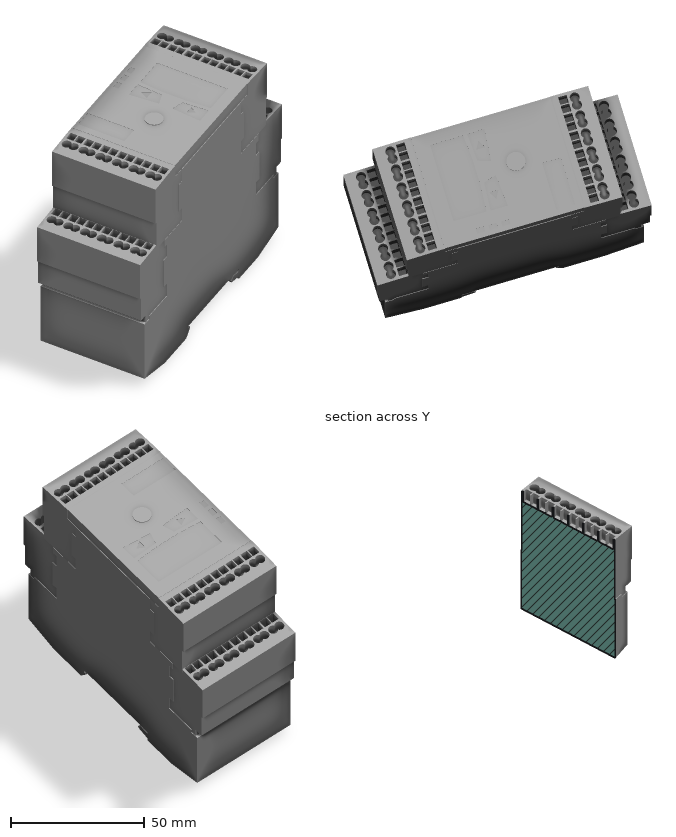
import cadquery as cq


width = 45.0
housing_half = 50.8
shoulder_z = 30.2
foot_half = 35.4
foot_rise = 3.4
panel_z = 91.1

tier_step = 11.5
tier_drop = 28.7
seam = 0.1
block_top_z = panel_z - seam
block_break = 30.0
block_slope_drop = 0.8
block_outer = 42.3
waist_step = 0.8
block_waist = block_outer - waist_step
block_waist_z = 73.5
block_inner = 22.4
block_bottom_z = 60.5
tab_inner = 24.7
tab_low_z = 66.6
tab_high_z = 79.8

lower_bottom_z = 33.7
neck_outer = 49.6
neck_inner = 47.2
lower_inner_top = 35.8

cover_half = 27.3
cover_bottom_z = 85.8

upper_inset = seam
lower_inset = 2 * seam
cover_inset = 2 * seam

channel_z = 5.0
channel_hook_y = 20.9
channel_lip_y = -17.4
catch_z = 3.9
hook_root_z = 1.2
hook_nose = [(15.4, 2.3), (15.2, 2.9), (16.8, 4.2), (18.0, 4.2)]
hook_neck_y = 18.2
lip_tip_y = -16.2
lip_tip_z = 3.3
lip_foot_y = -19.2

terminal_count = 6
terminal_pitch = 7.2
entry_diameter = 3.8
entry_spacing = 3.0
entry_y = 36.2
opening_width = 3.0
opening_spacing = 3.4
opening_length = 3.3
opening_margin = 0.1
well_depth = 5.4

engraving = 0.1
controls_x = 2.2
display_half = 15.3
display_top = 21.2
display_bottom = 8.3
display_sag = 0.9
button_outer = 15.4
button_outer_top = 6.7
button_outer_bottom = -0.1
button_inner = 4.4
button_inner_top = 5.9
button_inner_low = 2.9
button_inner_bottom = 1.0
arrow_tip = 11.7
arrow_base = 8.6
arrow_width = 3.5
arrow_y = 3.3
lamp_count = 3
lamp_x = -19.5
lamp_y = 12.5
lamp_pitch = 5.0
lamp_width = 2.2
lamp_length = 3.1
label_left = -21.3
label_right = -1.3
label_top = -17.1
label_bottom = -24.4
knob_y = -7.9
knob_diameter = 7.2
knob_height = 0.3


def across(points, x_start, length):
    """Prism with a (Y, Z) outline, running along +X from x_start."""
    return cq.Workplane("YZ", origin=(x_start, 0, 0)).polyline(points).close().extrude(length)


def stepped(point):
    """Move an upper-tier (Y, Z) point to the lower tier."""
    return (point[0] + tier_step, point[1] - tier_drop)


def mirrored(points):
    """Reflect points about the vertical axis."""
    return [(-a, b) for a, b in points]


block_face = [
    (block_break, block_top_z),
    (block_outer, block_top_z - block_slope_drop),
    (block_outer, block_waist_z),
    (block_waist, block_waist_z),
]
lower_face = [stepped(p) for p in block_face]
lower_waist = lower_face[-1][0]
lower_foot = [
    (lower_waist, lower_bottom_z),
    (neck_outer, lower_bottom_z),
    (neck_outer, shoulder_z),
]

block_key = [
    (block_inner, block_bottom_z),
    (block_inner, tab_low_z),
    (tab_inner, tab_low_z),
    (tab_inner, tab_high_z),
    (block_inner, tab_high_z),
    (block_inner, cover_bottom_z),
]
lower_key = [stepped(p) for p in block_key]

upper_block = block_face + [(block_waist, block_bottom_z)] + block_key + [
    (cover_half, cover_bottom_z),
    (cover_half, block_top_z),
]
lower_block = lower_face + lower_foot + [
    (neck_inner, shoulder_z),
    (neck_inner, lower_key[0][1]),
] + lower_key + [
    (lower_inner_top, lower_key[-1][1]),
    (lower_inner_top, block_bottom_z),
    (block_waist, block_bottom_z),
]
cover = [
    (-cover_half, cover_bottom_z),
    (cover_half, cover_bottom_z),
    (cover_half, panel_z),
    (-cover_half, panel_z),
]


def make_body():
    """Full-width body, symmetric in Y, before the rail channel is cut."""
    half = [(cover_half, panel_z), (cover_half, block_top_z)] + block_face + lower_face + lower_foot + [
        (housing_half, shoulder_z),
        (housing_half, foot_rise),
        (foot_half, 0),
    ]
    return across(half + mirrored(half)[::-1], -width / 2, width)


def inset_sides(body, outline, depth):
    """Step the outlined area in from both side faces."""
    left = across(outline, -width / 2, depth)
    right = across(outline, width / 2 - depth, depth)
    return body.cut(left).cut(right)


def rail_channel():
    """Rail slot with a sprung hook on +Y and a fixed lip on -Y."""
    hook = [
        (channel_hook_y, 0),
        (channel_hook_y, hook_root_z),
    ] + hook_nose + [
        (hook_neck_y, catch_z),
        (channel_hook_y, catch_z),
        (channel_hook_y, channel_z),
    ]
    lip = [
        (channel_lip_y, channel_z),
        (channel_lip_y, catch_z),
        (lip_tip_y, catch_z),
        (lip_tip_y, lip_tip_z),
        (lip_foot_y, 0),
    ]
    return across(hook + lip, -width / 2, width)


def terminal_wells(side, step, top_z):
    """Vertical wire entries and openings of one block; side is +1 or -1 along Y."""
    span = terminal_pitch * (terminal_count - 1)
    terminals = [i * terminal_pitch - span / 2 for i in range(terminal_count)]
    opening_y = block_break + opening_margin + opening_length / 2 + step
    floor_z = top_z - well_depth
    wells = cq.Workplane("XY")
    for x in terminals:
        for end in (-1, 1):
            entry = cq.Workplane("XY", origin=(x + end * entry_spacing / 2, side * (entry_y + step), floor_z))
            wells = wells.add(entry.circle(entry_diameter / 2).extrude(well_depth))
            opening = cq.Workplane("XY", origin=(x + end * opening_spacing / 2, side * opening_y, floor_z))
            wells = wells.add(opening.rect(opening_width, opening_length).extrude(well_depth))
    return wells.combine()


def panel_at(x):
    """Fresh workplane on the front panel, with its origin shifted along X."""
    return cq.Workplane("XY", origin=(x, 0, panel_z))


def panel_recesses():
    """Shallow recesses of the display, lamps, label field and arrow buttons."""
    display = (
        panel_at(controls_x)
        .moveTo(-display_half, display_bottom)
        .threePointArc((0, display_bottom - display_sag), (display_half, display_bottom))
        .lineTo(display_half, display_top)
        .lineTo(-display_half, display_top)
        .close()
        .extrude(-engraving)
    )
    lamp_places = [(lamp_x, lamp_y - i * lamp_pitch) for i in range(lamp_count)]
    lamps = panel_at(0).pushPoints(lamp_places).rect(lamp_width, lamp_length).extrude(-engraving)
    label_place = ((label_left + label_right) / 2, (label_bottom + label_top) / 2)
    label = panel_at(0).center(*label_place).rect(label_right - label_left, label_top - label_bottom)
    cutters = display.union(lamps).union(label.extrude(-engraving))

    button = [
        (button_outer, button_outer_top),
        (button_inner, button_inner_top),
        (button_inner_low, button_inner_bottom),
        (button_outer, button_outer_bottom),
    ]
    arrow = [
        (arrow_tip, arrow_y),
        (arrow_base, arrow_y + arrow_width / 2),
        (arrow_base, arrow_y - arrow_width / 2),
    ]
    for button_side, arrow_side in ((button, arrow), (mirrored(button), mirrored(arrow))):
        cutters = cutters.union(panel_at(controls_x).polyline(button_side).close().extrude(-engraving))
        cutters = cutters.union(panel_at(controls_x).polyline(arrow_side).close().extrude(-2 * engraving))
    return cutters


result = make_body().cut(rail_channel())

result = inset_sides(result, cover, cover_inset)
for outline, inset in ((upper_block, upper_inset), (lower_block, lower_inset)):
    result = inset_sides(result, outline, inset)
    result = inset_sides(result, mirrored(outline), inset)

for block_side in (-1, 1):
    result = result.cut(terminal_wells(block_side, 0, block_top_z))
    result = result.cut(terminal_wells(block_side, tier_step, block_top_z - tier_drop))

result = result.cut(panel_recesses())
knob_base = cq.Workplane("XY", origin=(controls_x, knob_y, panel_z))
result = result.union(knob_base.circle(knob_diameter / 2).extrude(knob_height))